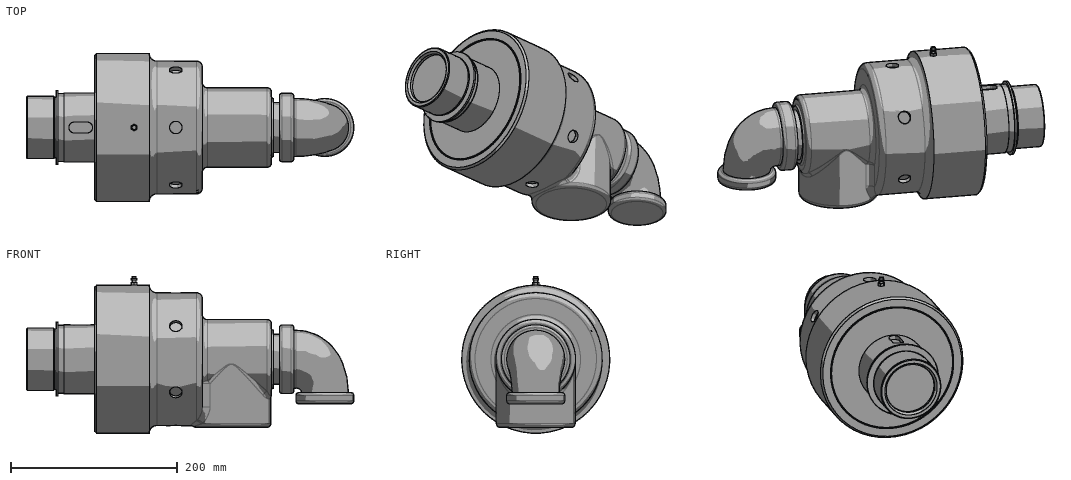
import cadquery as cq
import math


rotor_dia = 75.18
rotor_chamfer = 1.0
rotor_end_x = 33.6
relief_dia = 73.0
ring_dia = 88.9
ring_start_x = 35.6
ring_end_x = 38.0
seat_dia = 82.0
seat_end_x = 45.0
shaft_dia = 83.3
bore_mouth_dia = 65.48
bore_dia = 60.51
bore_depth = 6.0

slot_center_x = 65.0
slot_length = 28.5
slot_width = 13.0
slot_depth = 5.0

drum_start_x = 81.8
drum_end_x = 147.4
drum_dia = 178.18
drum_chamfer = 2.4
cover_seam_outer_dia = 154.0
cover_seam_inner_dia = 151.5
cover_seam_depth = 1.0

mid_dia = 159.9
mid_end_x = 211.2
mid_round = 7.0
drum_step_round = 9.0

neck_dia = 95.7
neck_end_x = 294.2
neck_round = 5.2
cast_round = 6.0

hole_count = 6
hole_dia = 15.0
hole_x = 179.3
hole_depth = 5.0

port_x = 246.0
port_dia = 95.0
port_bottom_z = -82.0
port_round = 5.0

stub_boss_dia = 69.85
stub_boss_end_x = 296.5
stub_boss_round = 2.2
stub_dia = 60.3
nut_dia = 82.55
nut_start_x = 303.6
nut_end_x = 321.1
nut_round = 3.4

elbow_start_dia = 69.85
elbow_end_dia = 57.0
elbow_start_x = 323.7
elbow_end_z = -39.9
elbow_sections = 7
outlet_dia = 69.85
total_length = 393.24
outlet_x = total_length - outlet_dia / 2
outlet_bottom_z = -53.6
outlet_round = 3.8

nipple_x = 129.2
total_height = 188.17
nipple_top_z = total_height - drum_dia / 2
nipple_hex_width = 7.0
nipple_hex_height = 3.2
nipple_stem_dia = 4.98
nipple_head_dia = 7.0
nipple_head_height = 1.4
nipple_tip_height = 2.4

margin = 0.05


def disc(dia, start_x, end_x):
    """Cylinder on the X axis between two X positions."""
    return cq.Workplane("YZ", origin=(start_x, 0, 0)).circle(dia / 2).extrude(end_x - start_x)


def post(dia, x, bottom_z, top_z):
    """Vertical cylinder at a given X position."""
    return cq.Workplane("XY", origin=(x, 0, bottom_z)).circle(dia / 2).extrude(top_z - bottom_z)


def edges_between(start_x, end_x, reach, bottom_z):
    """Selects the edges lying wholly inside a box around the X axis."""
    return cq.selectors.BoxSelector(
        (start_x - margin, -reach - margin, bottom_z - margin),
        (end_x + margin, reach + margin, reach + margin),
        boundingbox=True,
    )


def ring_edge(x, dia):
    """Selects the round edge of a given diameter at X, and any smaller one there."""
    return edges_between(x, x, dia / 2, -dia / 2)


def make_rotor():
    rotor = disc(rotor_dia, 0, rotor_end_x).edges().chamfer(rotor_chamfer)
    rotor = rotor.union(disc(relief_dia, bore_depth, ring_end_x))
    rotor = rotor.union(disc(ring_dia, ring_start_x, ring_end_x))
    rotor = rotor.union(disc(seat_dia, ring_start_x, seat_end_x))
    rotor = rotor.union(disc(shaft_dia, seat_end_x, drum_end_x))
    mouth_depth = (bore_mouth_dia - bore_dia) / 2
    bore = disc(bore_dia, 0, bore_depth)
    mouth = cq.Solid.makeCone(
        bore_mouth_dia / 2, bore_dia / 2, mouth_depth, cq.Vector(0, 0, 0), cq.Vector(1, 0, 0)
    )
    slot = (
        cq.Workplane("XY", origin=(slot_center_x, 0, shaft_dia / 2 - slot_depth))
        .slot2D(slot_length, slot_width)
        .extrude(2 * slot_depth)
    )
    return rotor.cut(bore).cut(cq.Workplane(obj=mouth)).cut(slot)


def make_housing_body():
    body = (
        cq.Workplane("XZ")
        .moveTo(drum_start_x, 0)
        .lineTo(drum_start_x, drum_dia / 2 - drum_chamfer)
        .lineTo(drum_start_x + drum_chamfer, drum_dia / 2)
        .lineTo(drum_end_x, drum_dia / 2)
        .lineTo(drum_end_x, mid_dia / 2)
        .lineTo(mid_end_x, mid_dia / 2)
        .lineTo(mid_end_x, neck_dia / 2)
        .lineTo(neck_end_x, neck_dia / 2)
        .lineTo(neck_end_x, 0)
        .close()
        .revolve(360, (0, 0, 0), (1, 0, 0))
    )
    body = body.edges(ring_edge(drum_end_x, mid_dia)).fillet(drum_step_round)
    shoulder_edge = ring_edge(mid_end_x, mid_dia) - ring_edge(mid_end_x, neck_dia)
    body = body.edges(shoulder_edge).fillet(mid_round)
    return body.edges(ring_edge(neck_end_x, neck_dia)).fillet(neck_round)


def add_port(body):
    """Joins the downward port to the body and rounds every inside corner of the casting."""
    port = post(port_dia, port_x, port_bottom_z, 0).faces("<Z").edges().fillet(port_round)
    body = body.union(port)
    port_start_x = port_x - port_dia / 2
    port_end_x = port_x + port_dia / 2
    lowest_joint_z = -mid_dia / 2
    joints = edges_between(port_start_x, port_end_x, neck_dia / 2, lowest_joint_z)
    smooth_edges = ring_edge(neck_end_x - neck_round, neck_dia)
    return body.edges(joints - smooth_edges).fillet(cast_round)


def cut_cover_seam(body):
    seam = disc(cover_seam_outer_dia, drum_start_x, drum_start_x + cover_seam_depth)
    seam = seam.cut(disc(cover_seam_inner_dia, drum_start_x, drum_start_x + cover_seam_depth))
    return body.cut(seam)


def cut_inspection_holes(body):
    hole = post(hole_dia, hole_x, mid_dia / 2 - hole_depth, mid_dia / 2 + hole_depth)
    for index in range(hole_count):
        angle = index * 360 / hole_count
        body = body.cut(hole.rotate((0, 0, 0), (1, 0, 0), angle))
    return body


def add_stub_boss(body):
    """Adds the low boss on the neck end face, blended into that face."""
    body = body.union(disc(stub_boss_dia, port_x, stub_boss_end_x))
    return body.edges(ring_edge(neck_end_x, stub_boss_dia)).fillet(stub_boss_round)


def make_pipe():
    stub = disc(stub_dia, neck_end_x, nut_start_x)
    nut = disc(nut_dia, nut_start_x, nut_end_x).edges().fillet(nut_round)
    spigot = disc(elbow_start_dia, nut_end_x, elbow_start_x)
    return stub.union(nut).union(spigot)


def make_elbow():
    """Quarter bend about the corner below the pipe end, narrowing towards its outlet."""
    start_offset = -elbow_end_z
    end_offset = outlet_x - elbow_start_x
    wires = []
    for index in range(elbow_sections):
        angle = index / (elbow_sections - 1) * math.pi / 2
        share = math.sin(angle) ** 2
        offset = start_offset + share * (end_offset - start_offset)
        dia = elbow_start_dia + share * (elbow_end_dia - elbow_start_dia)
        center = cq.Vector(
            elbow_start_x + offset * math.sin(angle), 0, elbow_end_z + offset * math.cos(angle)
        )
        normal = cq.Vector(math.cos(angle), 0, -math.sin(angle))
        plane = cq.Plane(center, (0, 1, 0), normal)
        wires.append(cq.Workplane(plane).circle(dia / 2).wires().val())
    bend = cq.Workplane(obj=cq.Solid.makeLoft(wires))
    flange = post(outlet_dia, outlet_x, outlet_bottom_z, elbow_end_z).edges().fillet(outlet_round)
    return bend.union(flange)


def make_nipple():
    hex_top_z = drum_dia / 2 + nipple_hex_height
    root_z = drum_dia / 2 - nipple_hex_height
    head_top_z = nipple_top_z - nipple_tip_height
    base = (
        cq.Workplane("XY", origin=(nipple_x, 0, root_z))
        .polygon(6, nipple_hex_width, circumscribed=True)
        .extrude(hex_top_z - root_z)
    )
    stem = post(nipple_stem_dia, nipple_x, root_z, nipple_top_z)
    head = post(nipple_head_dia, nipple_x, head_top_z - nipple_head_height, head_top_z)
    return base.union(stem).union(head)


housing = add_stub_boss(add_port(make_housing_body()))
housing = cut_inspection_holes(cut_cover_seam(housing))
result = make_rotor().union(housing).union(make_pipe()).union(make_elbow()).union(make_nipple())